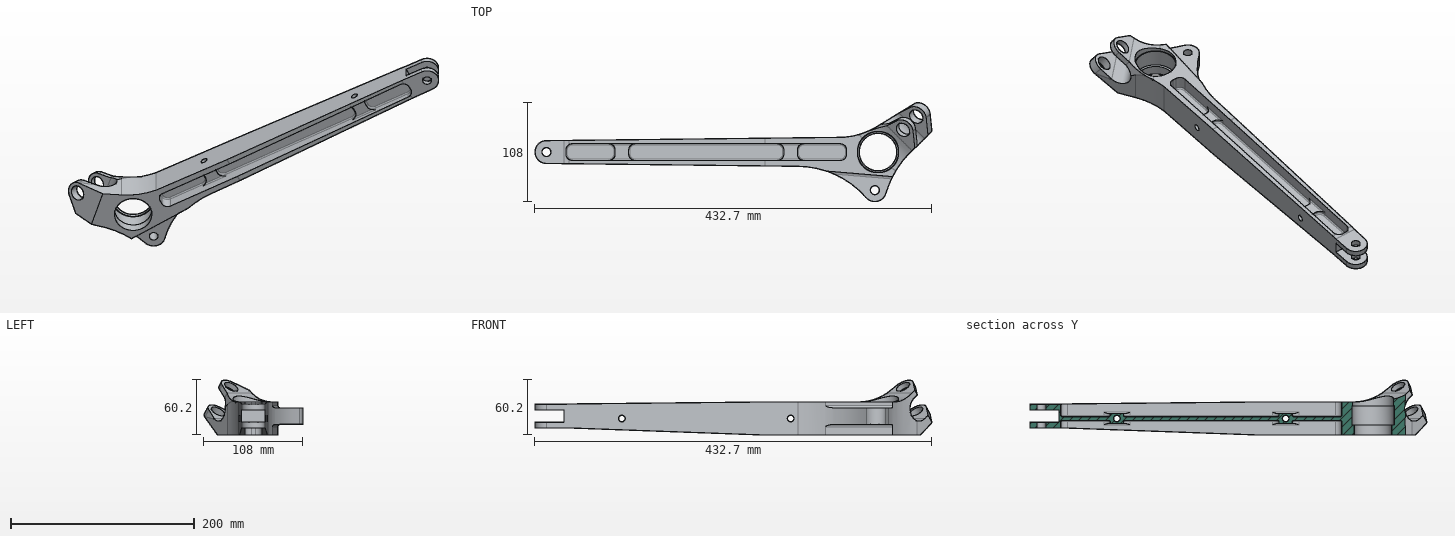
import cadquery as cq
import math

BODY_HEIGHT = 36.5
MID_HEIGHT = BODY_HEIGHT / 2
REACH = 649.5
BELOW = -4.5
HEADROOM = 86.5

FORK_RADIUS = 12.5
FORK_PIN_DIAMETER = 9.5
FORK_BOTTOM = 8.0
FORK_TOP = 33.8
FORK_SLOT_BOTTOM = 14.5
FORK_SLOT_TOP = 27.5
FORK_SLOT_END = 19.0
ARM_START = 24.5
ARM_START_TOP = 34.0
TAPER_END = 238.0
SIDE_TAPER = math.tan(math.radians(0.65))
FRONT_SIDE_END = 274.5
BACK_SIDE_END = 325.0

POCKET_START = 21.2
POCKET_END = 327.5
POCKET_WIDTH = 18.0
POCKET_CORNER = 7.0
POCKET_FLOOR_FILLET = 1.5
WEB_HALF_THICKNESS = 2.0
BOSS_HALF_HEIGHT = 5.5
BOSS_LENGTH = 14.7
CROSS_HOLE_X = (82.5, 266.5)
CROSS_HOLE_DIAMETER = 7.0

RING_X = 361.5
BORE_MOUTH_DIAMETER = 44.5
BORE_DIAMETER = 46.0
BORE_SHOULDER_DIAMETER = 40.5
BORE_LIP = 4.5
BORE_SHOULDER_HEIGHT = 11.3

SIDE_LUG_CENTER = (358.0, -41.5)
SIDE_LUG_RADIUS = 12.5
SIDE_LUG_HOLE_DIAMETER = 9.5
SIDE_LUG_BOTTOM = 11.5
SIDE_LUG_TOP = 30.0
SIDE_LUG_ARC_START = 223.6
SIDE_LUG_ARC_MIDDLE = 280.0
SIDE_LUG_ARC_END = 340.0
SIDE_LUG_FLAT_LENGTH = 8.5
STEP_START = (286.0, -19.0)
STEP_ANGLE = -4.8
STEP_LENGTH = 173.2
STEP_DEPTH = 65.0
STEP_HEIGHT = 43.5
STEP_FILLET = 2.5

TILT = math.radians(37.0)
CLEVIS_RADIUS = 12.0
CLEVIS_PIN_DIAMETER = 16.0
CLEVIS_PIN_ALONG = 36.5
CLEVIS_PIN_ACROSS = 2.0
CLEVIS_PIN_HEIGHT = 53.0
CLEVIS_BLEND_START = -1.5
CLEVIS_RIGHT_SIDE = 25.5
CLEVIS_RIGHT_SIDE_START = 34.5
CLEVIS_LEFT_SIDE_START = (19.5, -20.5)
CLEVIS_LEFT_SIDE_END = (65.0, -9.5)
CLEVIS_REACH = 108.3
UPPER_LUG_THICKNESS = 6.5
CLEVIS_GAP = 27.5
CLEVIS_DEPTH = 44.0
SLOT_ROOT_CENTER = 38.0
LUG_RIGHT_SLOPE = math.radians(45.5)
LUG_LEFT_LEAN = math.radians(15.0)
LUG_FLARE_LEAN = math.radians(27.0)
FLARE_START = -11.5
FLARE_END = -40.3

DIAGONAL = math.sqrt(0.5)
ALONG = cq.Vector(DIAGONAL, DIAGONAL, 0)
ACROSS = cq.Vector(DIAGONAL, -DIAGONAL, 0)
RING_CENTER = cq.Vector(RING_X, 0, 0)


def polar(center, radius, degrees):
    angle = math.radians(degrees)
    return (center[0] + radius * math.cos(angle), center[1] + radius * math.sin(angle))


def head_point(along, across):
    point = RING_CENTER + ALONG * along + ACROSS * across
    return (point.x, point.y)


def arm_half_width(x):
    return FORK_RADIUS + x * SIDE_TAPER


def cylinder(center, diameter, bottom, top):
    return cq.Workplane("XY", origin=(center[0], center[1], bottom)).circle(diameter / 2).extrude(top - bottom)


def plan_outline():
    """Outline of the whole part seen from above, extruded above the clevis."""
    flank_start = polar(SIDE_LUG_CENTER, SIDE_LUG_RADIUS, SIDE_LUG_ARC_END)
    flank_end = polar(flank_start, SIDE_LUG_FLAT_LENGTH, SIDE_LUG_ARC_END + 90)
    return (
        cq.Workplane("XY")
        .moveTo(0, FORK_RADIUS)
        .threePointArc((-FORK_RADIUS, 0), (0, -FORK_RADIUS))
        .lineTo(FRONT_SIDE_END, -arm_half_width(FRONT_SIDE_END))
        .tangentArcPoint(polar(SIDE_LUG_CENTER, SIDE_LUG_RADIUS, SIDE_LUG_ARC_START), relative=False)
        .threePointArc(
            polar(SIDE_LUG_CENTER, SIDE_LUG_RADIUS, SIDE_LUG_ARC_MIDDLE),
            flank_start,
        )
        .lineTo(*flank_end)
        .tangentArcPoint(head_point(CLEVIS_RIGHT_SIDE_START, CLEVIS_RIGHT_SIDE), relative=False)
        .lineTo(*head_point(CLEVIS_REACH, CLEVIS_RIGHT_SIDE))
        .lineTo(*head_point(CLEVIS_REACH, 0))
        .lineTo(*head_point(*CLEVIS_LEFT_SIDE_END))
        .lineTo(*head_point(*CLEVIS_LEFT_SIDE_START))
        .tangentArcPoint((BACK_SIDE_END, arm_half_width(BACK_SIDE_END)), relative=False)
        .close()
        .extrude(HEADROOM)
    )


def arm_side_profile():
    """Tapered height of the fork and arm, left open upward over the head."""
    points = [
        (-FORK_RADIUS, FORK_BOTTOM),
        (ARM_START, FORK_BOTTOM),
        (TAPER_END, 0),
        (REACH, 0),
        (REACH, HEADROOM),
        (TAPER_END, HEADROOM),
        (TAPER_END, BODY_HEIGHT),
        (ARM_START, ARM_START_TOP),
        (FORK_SLOT_END, FORK_TOP),
        (-FORK_RADIUS, FORK_TOP),
    ]
    return cq.Workplane("XZ").polyline(points).close().extrude(REACH, both=True)


def clevis_section_plane():
    return cq.Workplane(cq.Plane(RING_CENTER, ALONG, ACROSS))


def face_point(depth, slide):
    """Point of the diagonal section, at a depth below the top face and a distance up its slope."""
    return (
        CLEVIS_PIN_ALONG + depth * math.sin(TILT) + slide * math.cos(TILT),
        CLEVIS_PIN_HEIGHT - depth * math.cos(TILT) + slide * math.sin(TILT),
    )


def head_section():
    """Flat top, concave blend and tilted top face, closed by the tilted underside."""
    bend = CLEVIS_PIN_ALONG - (CLEVIS_PIN_HEIGHT - BODY_HEIGHT) / math.tan(TILT)
    tangent_length = bend - CLEVIS_BLEND_START
    blend_end = (bend + tangent_length * math.cos(TILT), BODY_HEIGHT + tangent_length * math.sin(TILT))
    underside = face_point(CLEVIS_DEPTH, 0)
    underside_start = underside[0] - underside[1] / math.tan(TILT)
    return (
        clevis_section_plane()
        .moveTo(-REACH, 0)
        .lineTo(underside_start, 0)
        .lineTo(*face_point(CLEVIS_DEPTH, CLEVIS_REACH))
        .lineTo(*face_point(0, CLEVIS_REACH))
        .lineTo(*blend_end)
        .tangentArcPoint((CLEVIS_BLEND_START, BODY_HEIGHT), relative=False)
        .lineTo(-REACH, BODY_HEIGHT)
        .close()
        .extrude(REACH, both=True)
    )


def clevis_face_plane():
    pin = RING_CENTER + ALONG * CLEVIS_PIN_ALONG + ACROSS * CLEVIS_PIN_ACROSS
    normal = cq.Vector(0, 0, math.cos(TILT)) - ALONG * math.sin(TILT)
    return cq.Workplane(cq.Plane(pin + cq.Vector(0, 0, CLEVIS_PIN_HEIGHT), ACROSS, normal))


def lug_outline():
    """Rounded clevis outline along the pin axis, opening out below to clear arm and bore."""
    right = (CLEVIS_RADIUS * math.sin(LUG_RIGHT_SLOPE), CLEVIS_RADIUS * math.cos(LUG_RIGHT_SLOPE))
    left = (-CLEVIS_RADIUS * math.cos(LUG_LEFT_LEAN), CLEVIS_RADIUS * math.sin(LUG_LEFT_LEAN))
    flare_u = left[0] - (left[1] - FLARE_START) * math.tan(LUG_LEFT_LEAN)
    flare_end_u = flare_u - (FLARE_START - FLARE_END) * math.tan(LUG_FLARE_LEAN)
    return (
        clevis_face_plane()
        .moveTo(*left)
        .threePointArc((0, CLEVIS_RADIUS), right)
        .lineTo(REACH, right[1] - (REACH - right[0]) * math.tan(LUG_RIGHT_SLOPE))
        .lineTo(REACH, -2 * REACH)
        .lineTo(-REACH, -2 * REACH)
        .lineTo(-REACH, FLARE_END)
        .lineTo(flare_end_u, FLARE_END)
        .lineTo(flare_u, FLARE_START)
        .close()
        .extrude(REACH, both=True)
    )


def clevis_slot():
    """Gap between the clevis lugs with a full round root."""
    radius = CLEVIS_GAP / 2
    middle = UPPER_LUG_THICKNESS + radius
    root = (SLOT_ROOT_CENTER - face_point(middle, 0)[0]) / math.cos(TILT)
    return (
        clevis_section_plane()
        .moveTo(*face_point(UPPER_LUG_THICKNESS, CLEVIS_REACH))
        .lineTo(*face_point(UPPER_LUG_THICKNESS, root))
        .threePointArc(
            face_point(middle, root - radius),
            face_point(UPPER_LUG_THICKNESS + CLEVIS_GAP, root),
        )
        .lineTo(*face_point(UPPER_LUG_THICKNESS + CLEVIS_GAP, CLEVIS_REACH))
        .close()
        .extrude(REACH, both=True)
    )


def clevis_pin_hole():
    return clevis_face_plane().circle(CLEVIS_PIN_DIAMETER / 2).extrude(REACH, both=True)


def fork_slot():
    length = FORK_SLOT_END + FORK_RADIUS
    height = FORK_SLOT_TOP - FORK_SLOT_BOTTOM
    return cq.Workplane("XY").box(length, 4 * FORK_RADIUS, height, centered=(False, True, False)).translate(
        (-FORK_RADIUS, 0, FORK_SLOT_BOTTOM)
    )


def pocket(start, end, floor):
    return (
        cq.Workplane("XY", origin=((start + end) / 2, 0, floor))
        .rect(end - start, POCKET_WIDTH)
        .extrude(BODY_HEIGHT)
        .edges("|Z")
        .fillet(POCKET_CORNER)
        .faces("<Z")
        .edges()
        .fillet(POCKET_FLOOR_FILLET)
    )


def arm_pockets():
    """Pockets of the top side: one long recess down to the bosses, three deeper ones between them."""
    cutter = pocket(POCKET_START, POCKET_END, MID_HEIGHT + BOSS_HALF_HEIGHT)
    starts = [POCKET_START] + [x + BOSS_LENGTH / 2 for x in CROSS_HOLE_X]
    ends = [x - BOSS_LENGTH / 2 for x in CROSS_HOLE_X] + [POCKET_END]
    for start, end in zip(starts, ends):
        cutter = cutter.union(pocket(start, end, MID_HEIGHT + WEB_HALF_THICKNESS))
    return cutter


def cross_holes():
    points = [(x, MID_HEIGHT) for x in CROSS_HOLE_X]
    return cq.Workplane("XZ").pushPoints(points).circle(CROSS_HOLE_DIAMETER / 2).extrude(REACH, both=True)


def bearing_bore():
    mouth = cylinder((RING_X, 0), BORE_MOUTH_DIAMETER, MID_HEIGHT, HEADROOM)
    seat = cylinder((RING_X, 0), BORE_DIAMETER, BORE_SHOULDER_HEIGHT, BODY_HEIGHT - BORE_LIP)
    shoulder = cylinder((RING_X, 0), BORE_SHOULDER_DIAMETER, BELOW, MID_HEIGHT)
    return mouth.union(seat).union(shoulder)


def side_lug_step(floor, outward):
    """Material removed over (outward = 1) or under (outward = -1) the side lug."""
    direction = polar((0, 0), 1, STEP_ANGLE)
    away = (direction[1], -direction[0], 0)
    top = floor + outward * STEP_HEIGHT
    plane = cq.Plane((*STEP_START, 0), away, (-direction[0], -direction[1], 0))
    fillet_middle = STEP_FILLET * (1 - DIAGONAL)
    return (
        cq.Workplane(plane)
        .moveTo(0, top)
        .lineTo(0, floor + outward * STEP_FILLET)
        .threePointArc((fillet_middle, floor + outward * fillet_middle), (STEP_FILLET, floor))
        .lineTo(STEP_DEPTH, floor)
        .lineTo(STEP_DEPTH, top)
        .close()
        .extrude(-STEP_LENGTH)
    )


body = plan_outline().intersect(arm_side_profile()).intersect(head_section()).intersect(lug_outline())

top_pockets = arm_pockets()
cutters = [
    clevis_slot(),
    clevis_pin_hole(),
    fork_slot(),
    cylinder((0, 0), FORK_PIN_DIAMETER, BELOW, HEADROOM),
    top_pockets,
    top_pockets.mirror("XY", (0, 0, MID_HEIGHT)),
    cross_holes(),
    bearing_bore(),
    side_lug_step(SIDE_LUG_TOP, 1),
    side_lug_step(SIDE_LUG_BOTTOM, -1),
    cylinder(SIDE_LUG_CENTER, SIDE_LUG_HOLE_DIAMETER, BELOW, HEADROOM),
]
for cutter in cutters:
    body = body.cut(cutter)

result = body